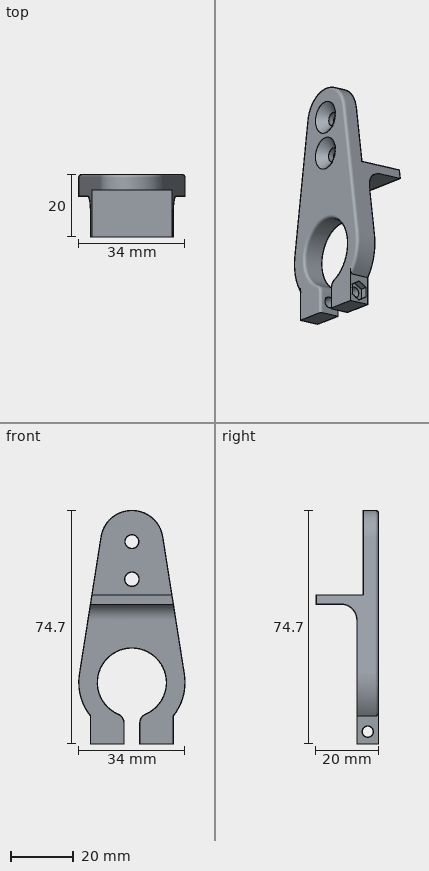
import cadquery as cq
import math

OVERALL_HEIGHT = 74.68
RING_RADIUS = 17.0
BORE_RADIUS = 11.0
TIP_RADIUS = 10.0
TIP_Z = 45.0
BODY_THICKNESS = 7.0
TIP_THICKNESS = 5.0
BACK_EDGE_RADIUS = 1.0

SHELF_TOP_Z = 28.0
SHELF_THICKNESS = 3.0
SHELF_DEPTH = 20.0
SHELF_FILLET_RADIUS = 5.0

UPPER_HOLE_DIAMETER = 4.33
LOWER_HOLE_DIAMETER = 4.5
MOUNT_HOLE_SPACING = 12.0
COUNTERSINK_DIAMETER = 10.4
COUNTERSINK_DEPTH = 3.0

LUG_WIDTH = 26.45
SLOT_WIDTH = 5.0
SLOT_LIP_RADIUS = 3.0
BOLT_HOLE_DIAMETER = 3.5
BOLT_HEIGHT = 4.0
NUT_WIDTH_ACROSS_FLATS = 5.5
NUT_POCKET_DEPTH = 2.5

BOTTOM_Z = TIP_Z + TIP_RADIUS - OVERALL_HEIGHT
BOLT_Z = BOTTOM_Z + BOLT_HEIGHT
LUG_HALF_WIDTH = LUG_WIDTH / 2
SLOT_HALF_WIDTH = SLOT_WIDTH / 2
NUT_CORNER_DIAMETER = NUT_WIDTH_ACROSS_FLATS / math.cos(math.pi / 6)
SHELF_BOTTOM_Z = SHELF_TOP_Z - SHELF_THICKNESS


def teardrop(depth):
    """Ring and tip circles joined by their common tangents, extruded forward from the back face."""
    normal_sin = (RING_RADIUS - TIP_RADIUS) / TIP_Z
    normal_cos = math.sqrt(1 - normal_sin**2)
    ring_x = RING_RADIUS * normal_cos
    ring_z = RING_RADIUS * normal_sin
    tip_x = TIP_RADIUS * normal_cos
    tip_z = TIP_Z + TIP_RADIUS * normal_sin
    return (
        cq.Workplane("XZ")
        .moveTo(ring_x, ring_z)
        .lineTo(tip_x, tip_z)
        .threePointArc((0, TIP_Z + TIP_RADIUS), (-tip_x, tip_z))
        .lineTo(-ring_x, ring_z)
        .threePointArc((0, -RING_RADIUS), (ring_x, ring_z))
        .close()
        .extrude(depth)
    )


def side_profile():
    """Stepped plate and shelf section, spanning the full width of the part."""
    fillet_mid = SHELF_FILLET_RADIUS * (1 - math.sqrt(0.5))
    return (
        cq.Workplane("YZ")
        .moveTo(0, -RING_RADIUS)
        .lineTo(-BODY_THICKNESS, -RING_RADIUS)
        .lineTo(-BODY_THICKNESS, SHELF_BOTTOM_Z - SHELF_FILLET_RADIUS)
        .threePointArc(
            (-BODY_THICKNESS - fillet_mid, SHELF_BOTTOM_Z - fillet_mid),
            (-BODY_THICKNESS - SHELF_FILLET_RADIUS, SHELF_BOTTOM_Z),
        )
        .lineTo(-SHELF_DEPTH, SHELF_BOTTOM_Z)
        .lineTo(-SHELF_DEPTH, SHELF_TOP_Z)
        .lineTo(-TIP_THICKNESS, SHELF_TOP_Z)
        .lineTo(-TIP_THICKNESS, TIP_Z + TIP_RADIUS)
        .lineTo(0, TIP_Z + TIP_RADIUS)
        .close()
        .extrude(RING_RADIUS, both=True)
    )


def lug_block():
    """Rectangular block below the ring, later split into two clamp lugs."""
    return (
        cq.Workplane("XY", origin=(0, -BODY_THICKNESS / 2, BOTTOM_Z))
        .rect(LUG_WIDTH, BODY_THICKNESS)
        .extrude(-BOTTOM_Z)
    )


def clamp_opening():
    """Bore and slot, with rounded lips where the slot meets the bore."""
    lip_x = SLOT_HALF_WIDTH + SLOT_LIP_RADIUS
    lip_z = -math.sqrt((BORE_RADIUS + SLOT_LIP_RADIUS) ** 2 - lip_x**2)
    bore_share = BORE_RADIUS / (BORE_RADIUS + SLOT_LIP_RADIUS)
    bore_x = lip_x * bore_share
    bore_z = lip_z * bore_share
    bore_angle = math.atan2(bore_z - lip_z, bore_x - lip_x)
    mid_angle = (bore_angle + math.pi) / 2
    mid_x = lip_x + SLOT_LIP_RADIUS * math.cos(mid_angle)
    mid_z = lip_z + SLOT_LIP_RADIUS * math.sin(mid_angle)
    return (
        cq.Workplane("XZ")
        .moveTo(SLOT_HALF_WIDTH, BOTTOM_Z)
        .lineTo(SLOT_HALF_WIDTH, lip_z)
        .threePointArc((mid_x, mid_z), (bore_x, bore_z))
        .threePointArc((0, BORE_RADIUS), (-bore_x, bore_z))
        .threePointArc((-mid_x, mid_z), (-SLOT_HALF_WIDTH, lip_z))
        .lineTo(-SLOT_HALF_WIDTH, BOTTOM_Z)
        .close()
        .extrude(BODY_THICKNESS)
    )


def countersunk_hole(diameter, z):
    """Through hole in the tip plate, countersunk from the back face."""
    back_plane = cq.Workplane("XZ", origin=(0, 0, z))
    hole = back_plane.circle(diameter / 2).extrude(TIP_THICKNESS)
    countersink = (
        back_plane.circle(COUNTERSINK_DIAMETER / 2)
        .workplane(offset=COUNTERSINK_DEPTH)
        .circle(diameter / 2)
        .loft(ruled=True)
    )
    return hole.union(countersink)


def bolt_cut():
    """Clamp bolt hole through both lugs, with a hexagonal nut pocket in the -X side."""
    bolt_plane = cq.Workplane("YZ", origin=(-LUG_HALF_WIDTH, -BODY_THICKNESS / 2, BOLT_Z))
    hole = bolt_plane.circle(BOLT_HOLE_DIAMETER / 2).extrude(LUG_WIDTH)
    pocket = (
        bolt_plane.transformed(rotate=(0, 0, 90))
        .polygon(6, NUT_CORNER_DIAMETER)
        .extrude(NUT_POCKET_DEPTH)
    )
    return hole.union(pocket)


def round_opening_back_edges(body):
    """Round the back edges of the bore, the lips and the slot."""
    margin = 0.1
    opening_edges = cq.selectors.BoxSelector(
        (-BORE_RADIUS - margin, -margin, BOTTOM_Z + margin),
        (BORE_RADIUS + margin, margin, BORE_RADIUS + margin),
    )
    return body.faces(">Y").edges(opening_edges).fillet(BACK_EDGE_RADIUS)


plate = teardrop(SHELF_DEPTH).faces(">Y").edges().fillet(BACK_EDGE_RADIUS)
bracket = plate.intersect(side_profile()).union(lug_block())
bracket = round_opening_back_edges(bracket.cut(clamp_opening()))
bracket = bracket.cut(countersunk_hole(UPPER_HOLE_DIAMETER, TIP_Z))
bracket = bracket.cut(countersunk_hole(LOWER_HOLE_DIAMETER, TIP_Z - MOUNT_HOLE_SPACING))
result = bracket.cut(bolt_cut())